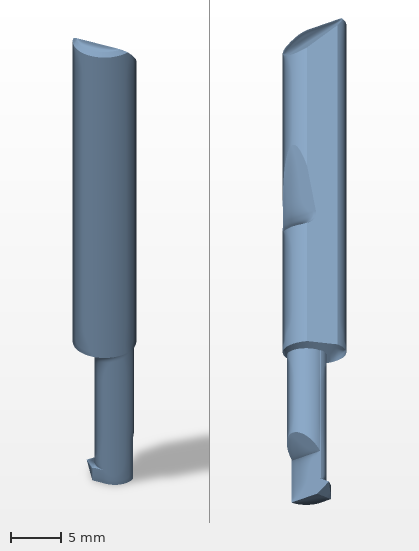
import cadquery as cq
import math

total_length = 50.8
shank_radius = 3.175
shank_bottom = 15.25
top_chamfer = 0.4

flat_normal_angle = 150.0
flat_distance = shank_radius * math.cos(math.radians(180.0 - flat_normal_angle))

slope_start_y = -1.3
slope_angle = 45.0

notch_top = 36.6
notch_bottom = 27.85
notch_angle = 9.5
notch_radius = 1.25

neck_radius = 2.05
back_radius = 1.95
neck_center_x = shank_radius - neck_radius
relief_ramp_top = 6.4

tooth_tip_x = -2.0
tooth_tip_z = 0.85
tooth_heel_x = -0.35
tooth_shoulder_x = -0.8
tooth_height = 1.5
flank_relief_angle = 10.5

clearance = 0.5
cut_width = 4 * shank_radius


def prism_along_x(profile):
    """Extrude a YZ sketch symmetrically about X = 0."""
    return profile.extrude(cut_width / 2, both=True)


def make_shank():
    shank = cq.Workplane("XY").workplane(offset=shank_bottom)
    shank = shank.circle(shank_radius).extrude(total_length - shank_bottom)
    return shank.faces(">Z").chamfer(top_chamfer)


def make_flat_cutter():
    block = cq.Workplane("XY").box(
        shank_radius, cut_width, total_length + clearance, centered=(False, True, False)
    )
    block = block.translate((flat_distance, 0, 0))
    return block.rotate((0, 0, 0), (0, 0, 1), flat_normal_angle)


def make_slope_cutter():
    outer_y = shank_radius + clearance
    drop = (outer_y - slope_start_y) * math.tan(math.radians(slope_angle))
    rise = clearance / math.tan(math.radians(slope_angle))
    profile = cq.Workplane("YZ").polyline([
        (slope_start_y - rise, total_length + clearance),
        (outer_y, total_length - drop),
        (outer_y, total_length + clearance),
    ]).close()
    return prism_along_x(profile)


def make_notch_cutter():
    taper = math.tan(math.radians(notch_angle))
    root_y = shank_radius - (notch_top - notch_bottom) * taper
    outer_y = shank_radius + clearance
    profile = cq.Workplane("YZ").polyline([
        (root_y, notch_bottom),
        (outer_y, notch_bottom),
        (outer_y, notch_top + clearance / taper),
    ]).close()
    cutter = prism_along_x(profile)
    return cutter.edges("|X and <Y").fillet(notch_radius)


def make_neck():
    neck = cq.Workplane("XY").center(neck_center_x, 0).circle(neck_radius).extrude(shank_bottom)
    front_half = cq.Workplane("XY").box(
        cut_width, neck_radius, shank_bottom, centered=(True, False, False)
    ).translate((0, -neck_radius, 0))
    back = cq.Workplane("XY").center(neck_center_x, 0).circle(back_radius).extrude(shank_bottom)
    neck = neck.intersect(front_half).union(back)
    outer_y = back_radius + clearance
    relief = cq.Workplane("YZ").polyline([
        (0, -clearance),
        (outer_y, -clearance),
        (outer_y, relief_ramp_top + clearance),
        (0, relief_ramp_top - back_radius),
    ]).close()
    return neck.cut(prism_along_x(relief))


def make_tooth():
    plan = cq.Workplane("XY").polyline([
        (tooth_tip_x, 0),
        (tooth_heel_x, -neck_radius),
        (neck_center_x, -neck_radius),
        (neck_center_x, 0),
    ]).close().extrude(tooth_height)
    elevation = cq.Workplane("XZ").polyline([
        (tooth_tip_x, tooth_tip_z),
        (tooth_heel_x, 0),
        (neck_center_x, 0),
        (neck_center_x, tooth_height),
        (tooth_tip_x, tooth_height),
    ]).close().extrude(neck_radius)
    return plan.intersect(elevation).cut(make_flank_cutter())


def make_flank_cutter():
    """Wedge above the upper flank, tilted about the tip so that the flank drops toward -Y."""
    flank_slope = (tooth_height - tooth_tip_z) / (tooth_shoulder_x - tooth_tip_x)
    flank_end_z = tooth_tip_z + flank_slope * (neck_center_x - tooth_tip_x)
    wedge = cq.Workplane("XZ", origin=(0, clearance, 0)).polyline([
        (tooth_tip_x, tooth_tip_z),
        (neck_center_x, flank_end_z),
        (tooth_tip_x, flank_end_z),
    ]).close().extrude(2 * neck_radius)
    tip = (tooth_tip_x, 0, tooth_tip_z)
    axis_end = (tooth_tip_x + 0.5, 0, tooth_tip_z)
    return wedge.rotate(tip, axis_end, flank_relief_angle)


def trim_neck_beside_tooth(neck):
    """Clear the neck on the -X side of its axis so that only the tooth remains there."""
    band = cq.Workplane("XY").box(
        neck_radius, 2 * neck_radius, tooth_height, centered=(False, True, False)
    ).translate((neck_center_x - neck_radius, 0, 0))
    return neck.cut(band)


shank = make_shank().cut(make_flat_cutter()).cut(make_slope_cutter()).cut(make_notch_cutter())
neck = trim_neck_beside_tooth(make_neck())
result = shank.union(neck).union(make_tooth())